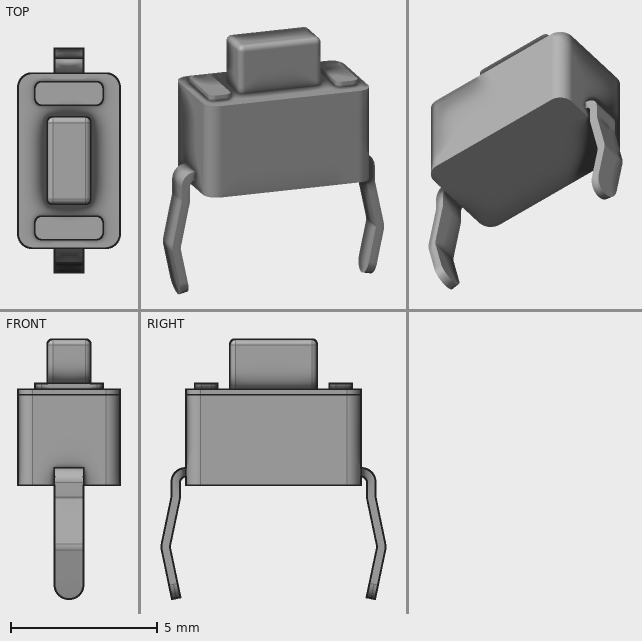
import cadquery as cq
import math


base_width = 3.5
base_length = 6.0
base_height = 3.1
base_corner_radius = 0.5
cover_thickness = 0.2
cover_top = base_height + cover_thickness

button_width = 1.5
button_length = 3.0
button_top = 5.0
button_round = 0.2

pad_width = 2.33
pad_length = 0.8
pad_spacing = 4.6
pad_rise = 0.2
pad_corner_radius = 0.22
pad_positions = [(0, -pad_spacing / 2), (0, pad_spacing / 2)]

lead_span = 7.68
lead_width = 1.0
lead_thickness = 0.3
lead_inner_bend = 0.2
lead_top = 0.6
lead_knee_top = -0.39
lead_tip = -3.9
lead_lean = math.radians(11.8)


def rounded_block(width, length, bottom, top, corner_radius):
    """Centred block with rounded vertical corners."""
    block = cq.Workplane("XY").workplane(offset=bottom).rect(width, length).extrude(top - bottom)
    return block.edges("|Z").fillet(corner_radius)


def make_upper_blocks():
    """Button and pads, rising from the top of the base through the cover."""
    button = rounded_block(button_width, button_length, base_height, button_top, button_round)
    blocks = [button.faces(">Z").edges().fillet(button_round)]
    pad = rounded_block(pad_width, pad_length, base_height, cover_top + pad_rise, pad_corner_radius)
    for x, y in pad_positions:
        blocks.append(pad.translate((x, y, 0)))
    return blocks


def make_base():
    """Moulded base with the button and pads standing on it."""
    base = rounded_block(base_width, base_length, 0, base_height, base_corner_radius)
    for block in make_upper_blocks():
        base = base.union(block)
    return base


def make_cover():
    """Plate on the base, with openings for the button and pads."""
    cover = rounded_block(base_width, base_length, base_height, cover_top, base_corner_radius)
    for block in make_upper_blocks():
        cover = cover.cut(block)
    return cover


def make_lead():
    """Bent strip on the +Y end, with a half-round tip."""
    bend = lead_inner_bend + lead_thickness / 2
    lean_sin = math.sin(lead_lean)
    lean_cos = math.cos(lead_lean)
    bend_out = bend * (1 - lean_cos)
    bend_drop = bend * lean_sin

    wall_y = base_length / 2
    start_z = lead_top - lead_thickness / 2
    vertical_y = wall_y + bend
    lean_start_y = vertical_y + bend_out
    lean_start_z = lead_knee_top - bend_drop
    knee_y = lead_span / 2 - lead_thickness / 2
    lean_end_y = knee_y - bend_out
    lean_end_z = lean_start_z - (lean_end_y - lean_start_y) * lean_cos / lean_sin
    knee_z = lean_end_z - bend_drop
    return_z = knee_z - bend_drop
    tip_radius = lead_width / 2
    tip_z = lead_tip + tip_radius * lean_cos + lead_thickness / 2 * lean_sin
    tip_y = lean_end_y - (return_z - tip_z) * lean_sin / lean_cos

    path = (
        cq.Workplane("YZ")
        .moveTo(wall_y, start_z)
        .radiusArc((vertical_y, start_z - bend), bend)
        .lineTo(vertical_y, lead_knee_top)
        .radiusArc((lean_start_y, lean_start_z), -bend)
        .lineTo(lean_end_y, lean_end_z)
        .threePointArc((knee_y, knee_z), (lean_end_y, return_z))
        .lineTo(tip_y - tip_radius * lean_sin, tip_z - tip_radius * lean_cos)
    )
    strip = (
        cq.Workplane("XZ", origin=(0, wall_y, start_z))
        .rect(lead_width, lead_thickness)
        .sweep(path)
    )

    tip_plane = cq.Plane(origin=(0, tip_y, tip_z), xDir=(1, 0, 0), normal=(0, lean_cos, -lean_sin))
    end_block = (
        cq.Workplane(tip_plane)
        .center(0, tip_radius)
        .rect(2 * lead_width, 2 * tip_radius)
        .extrude(lead_thickness, both=True)
    )
    tip_disc = cq.Workplane(tip_plane).circle(tip_radius).extrude(lead_thickness, both=True)
    return strip.cut(end_block.cut(tip_disc))


def make_leads():
    """One lead at each end of the base."""
    leads = []
    for angle in (0, 180):
        leads.append(make_lead().rotate((0, 0, 0), (0, 0, 1), angle))
    return leads


base = make_base()
cover = make_cover()
leads = make_leads()

result = cq.Compound.makeCompound([base.val(), cover.val(), *[lead.val() for lead in leads]])